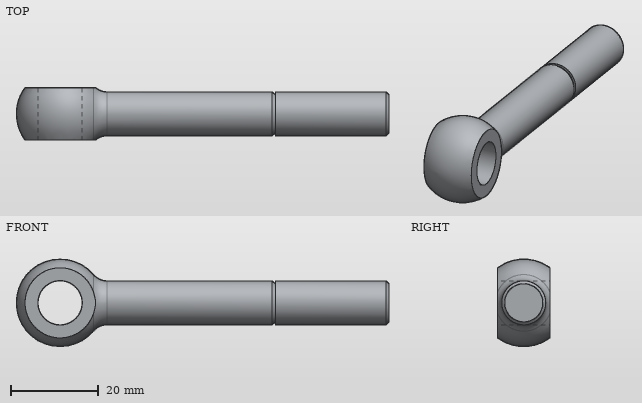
import cadquery as cq
import math

overall_length = 85.0
ball_diameter = 20.0
eye_width = 12.0
bore_diameter = 10.0
shank_diameter = 10.0
neck_end = 10.7
groove_start = 48.3
groove_width = 0.8
groove_depth = 0.6
end_chamfer = 0.7

ball_radius = ball_diameter / 2
shank_radius = shank_diameter / 2
shank_end = overall_length - ball_radius

neck_radius = (neck_end**2 + shank_radius**2 - ball_radius**2) / (2 * (ball_radius - shank_radius))
neck_center_height = shank_radius + neck_radius
neck_angle = math.atan2(neck_center_height, neck_end)
ball_tangent = (ball_radius * math.cos(neck_angle), ball_radius * math.sin(neck_angle))
middle_angle = (neck_angle + math.pi / 2) / 2
neck_middle = (
    neck_end - neck_radius * math.cos(middle_angle),
    neck_center_height - neck_radius * math.sin(middle_angle),
)


def turned_body():
    """Ball, neck and chamfered shank revolved about the X axis."""
    profile = (
        cq.Workplane("XY")
        .moveTo(-ball_radius, 0)
        .threePointArc((0, ball_radius), ball_tangent)
        .threePointArc(neck_middle, (neck_end, shank_radius))
        .lineTo(shank_end - end_chamfer, shank_radius)
        .lineTo(shank_end, shank_radius - end_chamfer)
        .lineTo(shank_end, 0)
        .close()
    )
    return profile.revolve(360, (0, 0, 0), (1, 0, 0))


def groove():
    """Ring that tapers down from the shank to a square shoulder where the threaded length starts."""
    groove_end = groove_start + groove_width
    return (
        cq.Workplane("XY")
        .moveTo(groove_start, shank_radius)
        .lineTo(groove_end, shank_radius - groove_depth)
        .lineTo(groove_end, shank_radius)
        .close()
        .revolve(360, (0, 0, 0), (1, 0, 0))
    )


def eye_slab():
    """Block that trims the ball to two flat faces."""
    return cq.Workplane("XY").box(2 * overall_length, eye_width, ball_diameter)


def bore():
    """Through hole across the eye, along Y."""
    return cq.Workplane("XZ").circle(bore_diameter / 2).extrude(eye_width, both=True)


result = turned_body().intersect(eye_slab()).cut(groove()).cut(bore())